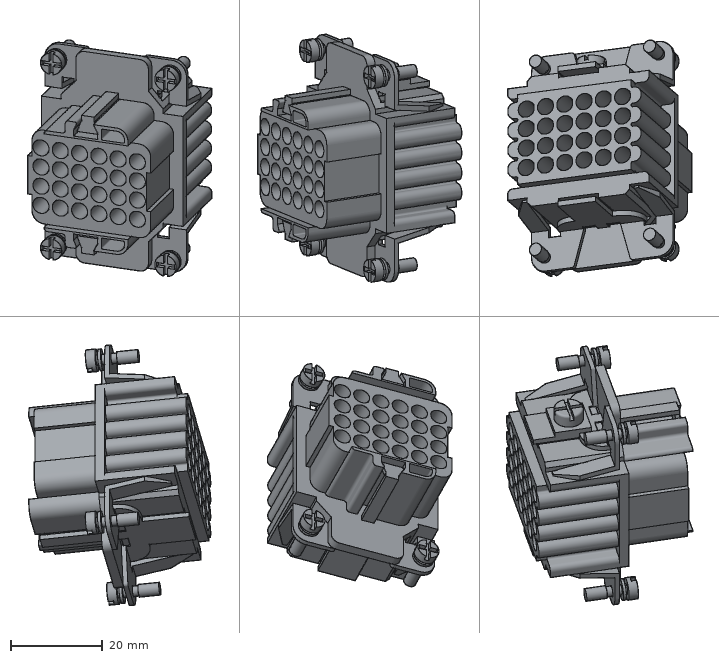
import cadquery as cq
import math


width = 33.25
height = 50.01
half_width = width / 2
half_height = height / 2

flange_thickness = 2.1
shell_half_height = 13.0
hump_half_width = 8.5
hump_corner_radius = 2.0
hump_slope_foot_x = 12.0
hump_slope_foot_z = 14.1
hump_slope_rise = 3.75

columns = 6
rows = 4
pitch = 4.53
cavity_diameter = 3.75

plug_end = -14.0
plug_left = -13.45
plug_right = 14.45
plug_half_height = 11.08
plug_corner_radius = 2.8
key_depth = 1.0
key_half_height = 4.55

coding_end = -16.0
coding_half_width = 9.85
coding_low_z = 11.9
coding_high_z = 14.93
coding_step_x = -4.87
coding_step_radius = 0.75
coding_end_radius = 0.8
coding_round_radius = 2.7
coding_notch_lip_radius = 0.4
notch_floor_z = 11.57
notch_taper_z = 13.05
notch_left = -2.9
notch_right = 2.75
notch_top_left = -2.0
notch_top_right = 1.75
pocket_left = 3.67
pocket_right = 9.05
pocket_top_z = 14.18
pocket_small_radius = 0.3
pocket_round_radius = 1.85

latch_end = -14.95
latch_hook_back = -13.95
latch_x = 0.07
latch_neck_z = 15.1
latch_top_z = 16.28
latch_bottom_z = 12.33
latch_top_half_width = 1.48
latch_bottom_half_width = 2.6

shell_end = 17.65
shell_roof_z = 15.1
roof_slope_width = (
    (shell_roof_z - hump_slope_foot_z)
    * (hump_slope_foot_x - hump_half_width)
    / hump_slope_rise
)
wall_inner_radius = 1.2
block_end = 20.0
block_half_width = 13.36
block_half_height = 10.45
rib_half_width = 15.65
rib_half_height = 1.85
rib_end_radius = 1.6
rib_root_radius = 0.38
wall_root_radius = 0.48
channel_half_width = 4.7
channel_depth = 1.0

plate_thickness = 1.05
plate_front = flange_thickness
plate_back = plate_front + plate_thickness
plate_corner_radius = 3.4
window_outer_x = 12.6
window_inner_x = 9.81
window_top_z = 17.3
leg_top_z = 15.65
leg_angle = 9.3
leg_end = 16.35
leg_taper_start = 11.0
leg_tip_x = 13.65
cutout_top_half_width = 6.7
cutout_bottom_half_width = 4.3
cutout_corner_radius = 0.7

shoulder_top_z = 16.28
shoulder_half_width = 10.1
shoulder_back = 8.3
shoulder_radius = 5.0
tongue_half_width = 4.4
tongue_end = 18.65
pad_front = 5.55
pad_back = 13.75
pad_top_z = 17.44
tab_slot_inner_x = 1.37
tab_slot_outer_x = 4.3
tab_slot_back = 4.1
tab_slot_step = 2.55
tab_slot_depth = 0.3

earth_diameter = 6.5
earth_y = 9.65
earth_top_z = 20.35
earth_fillet = 0.5
earth_slot_width = 0.85
earth_slot_depth = 1.15

screw_x = 13.43
screw_z = 21.9
screw_shank_diameter = 2.32
screw_thread_diameter = 2.85
screw_hole_diameter = 2.5
screw_head_diameter = 5.02
screw_thread_end = 9.05
screw_thread_start = 4.4
screw_head_back = -0.22
screw_head_front = -2.35
screw_slot_width = 1.0
screw_slot_depth = 1.15
screw_short_slot = 4.2
washer_diameter = 4.8
washer_front = 0.35
washer_back = 1.0


def section(y_back):
    """Sketch plane across the part; extruding goes from y_back towards -Y."""
    return cq.Workplane("XZ", origin=(0, y_back, 0))


def block(x_range, y_range, z_range):
    """Box given by its limits along each axis."""
    size = [high - low for low, high in (x_range, y_range, z_range)]
    corner = (x_range[0], y_range[0], z_range[0])
    return cq.Workplane("XY").box(*size, centered=False).translate(corner)


def mirror_x(solid):
    return solid.union(solid.mirror("YZ"))


def hump_outline():
    """Upper half of the flange outline, from left to right."""
    slope_top_z = hump_slope_foot_z + hump_slope_rise
    left = [
        (-half_width, 0),
        (-half_width, shell_half_height),
        (-hump_slope_foot_x, shell_half_height),
        (-hump_slope_foot_x, hump_slope_foot_z),
        (-hump_half_width, slope_top_z),
        (-hump_half_width, half_height),
    ]
    return left + [(-x, z) for x, z in reversed(left)]


def make_flange_half():
    flange = section(flange_thickness).polyline(hump_outline()).close().extrude(flange_thickness)
    return flange.edges("|Y and >Z").fillet(hump_corner_radius)


def make_shell_half():
    """Roof of the rear shell, with its raised middle, root fillets and tongue channel."""
    depth = shell_end - flange_thickness
    wall = block(
        (-half_width, half_width),
        (flange_thickness, shell_end),
        (block_half_height, shell_half_height),
    )
    wall = wall.edges("|Y and <Z").fillet(wall_inner_radius)
    roof_half = hump_slope_foot_x - roof_slope_width
    roof = (
        section(shell_end)
        .polyline([
            (-hump_slope_foot_x, block_half_height),
            (-hump_slope_foot_x, hump_slope_foot_z),
            (-roof_half, shell_roof_z),
            (roof_half, shell_roof_z),
            (hump_slope_foot_x, hump_slope_foot_z),
            (hump_slope_foot_x, block_half_height),
        ])
        .close()
        .extrude(depth)
    )
    channel = block(
        (-channel_half_width, channel_half_width),
        (shoulder_back, shell_end),
        (shell_roof_z - channel_depth, shell_roof_z),
    )
    wall_root = (
        section(shell_end)
        .moveTo(block_half_width, block_half_height)
        .lineTo(block_half_width + wall_root_radius, block_half_height)
        .radiusArc((block_half_width, block_half_height - wall_root_radius), -wall_root_radius)
        .close()
        .extrude(depth)
    )
    return wall.union(roof).cut(channel).union(mirror_x(wall_root))


def make_coding_half():
    """Coding block with its dovetail notch and D-shaped pocket."""
    length = flange_thickness - coding_end
    base = (
        section(flange_thickness)
        .polyline([
            (-coding_half_width, plug_half_height),
            (-coding_half_width, coding_low_z),
            (coding_step_x, coding_low_z),
            (coding_step_x, coding_high_z),
            (notch_top_left, coding_high_z),
            (notch_left, notch_taper_z),
            (notch_left, notch_floor_z),
            (notch_right, notch_floor_z),
            (notch_right, notch_taper_z),
            (notch_top_right, coding_high_z),
            (coding_half_width, coding_high_z),
            (coding_half_width, plug_half_height),
        ])
        .close()
        .extrude(length)
    )
    rounded_corners = [
        (-coding_half_width, coding_low_z, coding_end_radius),
        (coding_step_x, coding_low_z, coding_step_radius),
        (coding_step_x, coding_high_z, coding_step_radius),
        (notch_top_left, coding_high_z, coding_notch_lip_radius),
        (coding_half_width, coding_high_z, coding_round_radius),
    ]
    for x, z, radius in rounded_corners:
        near = cq.selectors.NearestToPointSelector((x, (flange_thickness + coding_end) / 2, z))
        base = base.edges("|Y").edges(near).fillet(radius)
    pocket = block(
        (pocket_left, pocket_right), (coding_end, 0), (notch_floor_z, pocket_top_z)
    )
    pocket = pocket.edges("|Y and >X and >Z").fillet(pocket_round_radius)
    pocket = pocket.edges("|Y and (<X or <Z)").fillet(pocket_small_radius)
    return base.cut(pocket)


def make_latch_half():
    """Straight latch bar with a dovetail hook at its free end, clear of the notch floor."""
    bar = block(
        (-latch_top_half_width, latch_top_half_width),
        (latch_end, flange_thickness),
        (latch_neck_z, latch_top_z),
    )
    hook = (
        section(latch_hook_back)
        .polyline([
            (-latch_top_half_width, latch_neck_z),
            (-latch_bottom_half_width, latch_bottom_z),
            (latch_bottom_half_width, latch_bottom_z),
            (latch_bottom_half_width, notch_taper_z),
            (latch_top_half_width, latch_neck_z),
        ])
        .close()
        .extrude(latch_hook_back - latch_end)
    )
    return bar.union(hook).translate((latch_x, 0, 0))


def make_plate_half():
    """Upright plate with corner windows, a central cutout and screw holes."""
    plate = block(
        (-half_width, half_width), (plate_front, plate_back), (shell_half_height, half_height)
    )
    plate = plate.edges("|Y and >Z").fillet(plate_corner_radius)
    cutout = (
        section(plate_back)
        .polyline([
            (-cutout_bottom_half_width, shoulder_top_z),
            (cutout_bottom_half_width, shoulder_top_z),
            (cutout_top_half_width, half_height),
            (-cutout_top_half_width, half_height),
        ])
        .close()
        .extrude(plate_thickness)
    )
    plate = plate.cut(cutout)
    for side in (-1, 1):
        corner = cq.selectors.NearestToPointSelector(
            (side * cutout_top_half_width, (plate_front + plate_back) / 2, half_height)
        )
        plate = plate.edges("|Y").edges(corner).fillet(cutout_corner_radius)
    window = block(
        (window_inner_x, window_outer_x), (plate_front, plate_back), (shell_half_height, window_top_z)
    )
    leg_space = block(
        (window_outer_x, half_width),
        (plate_front, plate_back),
        (shell_half_height, leg_top_z - plate_thickness),
    )
    plate = plate.cut(mirror_x(window.union(leg_space)))
    holes = (
        section(plate_back)
        .pushPoints([(-screw_x, screw_z), (screw_x, screw_z)])
        .circle(screw_hole_diameter / 2)
        .extrude(plate_thickness)
    )
    return plate.cut(holes)


def make_legs_half():
    """Sloping legs that run back from the plate and sink into the shell wall."""
    slope = math.tan(math.radians(leg_angle))
    drop = (leg_end - plate_front) * slope
    thickness = plate_thickness * (1 + slope)
    front_z = leg_top_z + plate_thickness * slope
    side = (
        cq.Workplane("YZ", origin=(window_outer_x, 0, 0))
        .polyline([
            (plate_front, front_z),
            (plate_front, front_z - thickness),
            (leg_end, front_z - thickness - drop),
            (leg_end, front_z - drop),
        ])
        .close()
        .extrude(half_width - window_outer_x)
    )
    plan = (
        cq.Workplane("XY", origin=(0, 0, block_half_height))
        .polyline([
            (window_outer_x, plate_front),
            (half_width, plate_front),
            (half_width, leg_taper_start),
            (leg_tip_x, leg_end),
            (window_outer_x, leg_end),
        ])
        .close()
        .extrude(half_height)
    )
    return mirror_x(side.intersect(plan))


def make_shoulder_half():
    """Round-cornered shoulder with the clamp tongue."""
    shoulder = block(
        (-shoulder_half_width, shoulder_half_width),
        (plate_front, shoulder_back),
        (shell_roof_z, shoulder_top_z),
    )
    shoulder = shoulder.edges("|Z and >Y").fillet(shoulder_radius)
    tongue = block(
        (-tongue_half_width, tongue_half_width),
        (plate_front, tongue_end),
        (shell_roof_z, shoulder_top_z),
    )
    return shoulder.union(tongue)


def make_tab_slots_half():
    """Two stepped slots at the front of the shoulder, used as a cutter."""
    slot_x = (tab_slot_inner_x, tab_slot_outer_x)
    mid_z = shoulder_top_z - tab_slot_depth
    upper = block(slot_x, (plate_front, tab_slot_back), (mid_z, shoulder_top_z))
    lower = block(slot_x, (plate_front, tab_slot_step), (mid_z - tab_slot_depth, mid_z))
    return mirror_x(upper.union(lower))


def make_earth_terminal():
    """Raised clamp pad carrying the cross-slotted earth screw head."""
    pad = block(
        (-tongue_half_width, tongue_half_width),
        (pad_front, pad_back),
        (shoulder_top_z, pad_top_z),
    )
    head = (
        cq.Workplane("XY", origin=(0, earth_y, pad_top_z))
        .circle(earth_diameter / 2)
        .extrude(earth_top_z - pad_top_z)
        .faces(">Z")
        .edges()
        .fillet(earth_fillet)
    )
    slots = (
        cq.Workplane("XY", origin=(0, earth_y, earth_top_z - earth_slot_depth))
        .rect(earth_diameter, earth_slot_width)
        .extrude(earth_slot_depth)
    )
    slots = slots.union(slots.rotate((0, earth_y, 0), (0, earth_y, 1), 90))
    return pad.union(head.cut(slots))


def make_plug():
    """Mating plug with a key on its left side and a keyway on its right."""
    plug = block(
        (plug_left, plug_right), (plug_end, 0), (-plug_half_height, plug_half_height)
    )
    plug = plug.edges("|Y").fillet(plug_corner_radius)
    key = block(
        (plug_left - key_depth, plug_left), (plug_end, 0), (-key_half_height, key_half_height)
    )
    keyway = block(
        (plug_right - key_depth, plug_right), (plug_end, 0), (-key_half_height, key_half_height)
    )
    return plug.union(key).cut(keyway)


def make_cavity_block():
    """Rear block with one rounded rib along each row of cavities."""
    core = block(
        (-block_half_width, block_half_width),
        (flange_thickness, block_end),
        (-block_half_height, block_half_height),
    )
    for row in range(rows):
        z = (row - (rows - 1) / 2) * pitch
        rib = block(
            (-rib_half_width, rib_half_width),
            (flange_thickness, block_end),
            (z - rib_half_height, z + rib_half_height),
        )
        core = core.union(rib.edges("|Y").fillet(rib_end_radius))
    root_zone_height = (rows - 1) / 2 * pitch + rib_half_height + rib_root_radius / 2
    for side in (-1, 1):
        root_x = side * block_half_width
        roots = cq.selectors.BoxSelector(
            (root_x - rib_root_radius / 2, 0, -root_zone_height),
            (root_x + rib_root_radius / 2, block_end, root_zone_height),
        )
        core = core.edges("|Y").edges(roots).fillet(rib_root_radius)
    return core


def make_housing():
    half = make_flange_half()
    for feature in (
        make_shell_half(),
        make_coding_half(),
        make_latch_half(),
        make_plate_half(),
        make_legs_half(),
        make_shoulder_half(),
    ):
        half = half.union(feature)
    half = half.cut(make_tab_slots_half())
    body = half.union(half.mirror("XY"))
    body = body.union(make_plug()).union(make_cavity_block()).union(make_earth_terminal())
    cavities = (
        section(block_end)
        .rarray(pitch, pitch, columns, rows)
        .circle(cavity_diameter / 2)
        .extrude(block_end - plug_end)
    )
    return body.cut(cavities).solids()


def make_captive_screw(x, z):
    """Cross-slotted screw with a washer behind its head."""
    def rod(diameter, front, back):
        return section(back).circle(diameter / 2).extrude(back - front)

    head = rod(screw_head_diameter, screw_head_front, screw_head_back)
    slot_y = (screw_head_front, screw_head_front + screw_slot_depth)
    half_slot = screw_slot_width / 2
    half_head = screw_head_diameter / 2
    half_short = screw_short_slot / 2
    head = head.cut(block((-half_slot, half_slot), slot_y, (-half_head, half_head)))
    head = head.cut(block((-half_short, half_short), slot_y, (-half_slot, half_slot)))
    screw = (
        head.union(rod(screw_shank_diameter, screw_head_back, screw_thread_start))
        .union(rod(screw_thread_diameter, screw_thread_start, screw_thread_end))
        .union(rod(washer_diameter, washer_front, washer_back))
    )
    return screw.translate((x, 0, z))


housing = make_housing()
captive_screws = [
    make_captive_screw(side * screw_x, level * screw_z) for side in (-1, 1) for level in (-1, 1)
]

result = cq.Compound.makeCompound(
    [housing.val(), *[screw.val() for screw in captive_screws]]
)